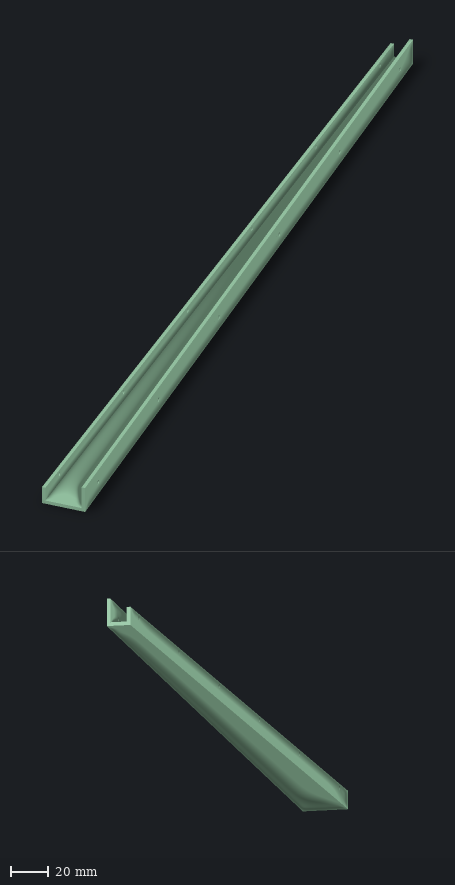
import cadquery as cq

length = 500.0
near_width = 25.0
far_width = 13.0
low_wall_height = 10.0
tall_wall_height = 15.0
wall_thickness = 2.0
floor_thickness = 2.0

hole_diameter = 2.5
hole_height = 7.5
hole_count = 6
hole_end_distance = 20.0
hole_pitch = (length - 2 * hole_end_distance) / (hole_count - 1)


def tapered_floor():
    """Floor plate whose +X edge slants inward toward the far end."""
    outline = [(0, 0), (near_width, 0), (far_width, length), (0, length)]
    return cq.Workplane("XY").polyline(outline).close().extrude(floor_thickness)


def low_wall():
    """Straight wall along the -X edge."""
    return cq.Workplane("XY").box(wall_thickness, length, low_wall_height, centered=False)


def tall_wall():
    """Wall that follows the slanted +X edge."""
    outline = [
        (near_width - wall_thickness, 0),
        (near_width, 0),
        (far_width, length),
        (far_width - wall_thickness, length),
    ]
    return cq.Workplane("XY").polyline(outline).close().extrude(tall_wall_height)


def wall_holes():
    """Cylinders along X that cross both walls."""
    centers = [(hole_end_distance + i * hole_pitch, hole_height) for i in range(hole_count)]
    return cq.Workplane("YZ").pushPoints(centers).circle(hole_diameter / 2).extrude(near_width)


result = tapered_floor().union(low_wall()).union(tall_wall()).cut(wall_holes())